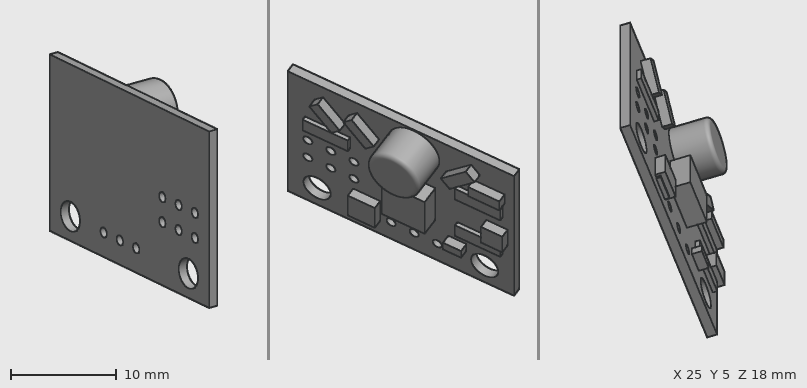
import cadquery as cq

BOARD_LENGTH = 25.0
BOARD_HEIGHT = 18.0
BOARD_THICKNESS = 1.0

MOUNTING_DIAMETER = 3.0
MOUNTING_INSET = 3.25
BOTTOM_ROW_Z = 2.5

PIN_DIAMETER = 1.0
PIN_PITCH = 2.55
PIN_COLUMNS = 3
PIN_ROW_X = 11.02
PIN_BLOCK_ROWS = 2
PIN_BLOCK_X = 20.22
PIN_BLOCK_Z = 7.72

CAPSULE_DIAMETER = 5.62
CAPSULE_LENGTH = 4.0
CAPSULE_RIM_RADIUS = 0.48
CAPSULE_X = 11.05
CAPSULE_Z = 15.02

TALL = 2.0
MEDIUM = 1.0
LOW = 0.45

TILT = 45.0
TILTED_Z = 14.88
LONG_TILTED_X = 5.62
LONG_TILTED_LENGTH = 3.9
LONG_TILTED_WIDTH = 1.38
SHORT_TILTED_XS = (16.58, 20.32)
SHORT_TILTED_LENGTH = 3.45
SHORT_TILTED_WIDTH = 1.3

BLOCK_SIDE = 4.75
BLOCK_BOTTOM = 5.98

SIDE_CHIP_LEFT = 1.02
SIDE_CHIP_WIDTH = 1.35
SIDE_CHIP_BOTTOM = 13.25

LOW_CHIP_LENGTH = 5.0
LOW_CHIP_WIDTH = 1.6
LOW_CHIP_LEFT = 1.25
UPPER_LOW_CHIP_BOTTOM = 11.02
LOWER_LOW_CHIP_BOTTOM = 5.55
RIGHT_LOW_CHIP_END = 23.08
RIGHT_LOW_CHIP_BOTTOM = 10.8

EDGE_CHIP_LEFT = 0.7
EDGE_CHIP_SIDE = 2.35
EDGE_CHIP_BOTTOM = LOWER_LOW_CHIP_BOTTOM + LOW_CHIP_WIDTH

LARGE_CHIP_LEFT = 14.78
LARGE_CHIP_SIDE = 2.98
LARGE_CHIP_BOTTOM = 1.95
STRIP_WIDTH = 0.3
STRIP_INSET = 0.25

SMALL_CHIP_LEFT = 5.25
SMALL_CHIP_LENGTH = 2.0
SMALL_CHIP_WIDTH = 1.0
SMALL_CHIP_BOTTOM = 3.48


def round_hole(diameter, x, z):
    """A cylinder through the board thickness, used to cut a hole."""
    return cq.Workplane("XZ").center(x, z).circle(diameter / 2).extrude(-BOARD_THICKNESS)


def mounting_holes():
    left = round_hole(MOUNTING_DIAMETER, MOUNTING_INSET, BOTTOM_ROW_Z)
    right = round_hole(MOUNTING_DIAMETER, BOARD_LENGTH - MOUNTING_INSET, BOTTOM_ROW_Z)
    return [left, right]


def pin_holes(rows, middle_x, middle_z):
    """A grid of pin holes centred on the given point."""
    holes = []
    for column in range(PIN_COLUMNS):
        x = middle_x + (column - (PIN_COLUMNS - 1) / 2) * PIN_PITCH
        for row in range(rows):
            z = middle_z + (row - (rows - 1) / 2) * PIN_PITCH
            holes.append(round_hole(PIN_DIAMETER, x, z))
    return holes


def chip(left, bottom, length, width, height):
    """A block on the back face, with its sides along X and Z."""
    return cq.Workplane("XY").box(length, height, width, centered=False).translate(
        (left, BOARD_THICKNESS, bottom)
    )


def tilted_chip(middle_x, length, width, tilt):
    """A block of medium height turned about Y; a positive tilt lowers its +X end."""
    block = cq.Workplane("XY").box(length, MEDIUM, width, centered=(True, False, True))
    turned = block.rotate((0, 0, 0), (0, 1, 0), tilt)
    return turned.translate((middle_x, BOARD_THICKNESS, TILTED_Z))


def tilted_chips():
    chips = [tilted_chip(LONG_TILTED_X, LONG_TILTED_LENGTH, LONG_TILTED_WIDTH, TILT)]
    for x in SHORT_TILTED_XS:
        chips.append(tilted_chip(x, SHORT_TILTED_LENGTH, SHORT_TILTED_WIDTH, -TILT))
    return chips


def low_chips():
    right_chip_left = RIGHT_LOW_CHIP_END - LOW_CHIP_LENGTH
    corners = [
        (LOW_CHIP_LEFT, UPPER_LOW_CHIP_BOTTOM),
        (LOW_CHIP_LEFT, LOWER_LOW_CHIP_BOTTOM),
        (right_chip_left, RIGHT_LOW_CHIP_BOTTOM),
    ]
    return [chip(x, z, LOW_CHIP_LENGTH, LOW_CHIP_WIDTH, LOW) for x, z in corners]


def upright_chips():
    block_left = CAPSULE_X - BLOCK_SIDE / 2
    strip_bottom = LARGE_CHIP_BOTTOM - STRIP_WIDTH
    strip_left = LARGE_CHIP_LEFT + STRIP_INSET
    strip_length = LARGE_CHIP_SIDE - 2 * STRIP_INSET
    return [
        chip(block_left, BLOCK_BOTTOM, BLOCK_SIDE, BLOCK_SIDE, TALL),
        chip(EDGE_CHIP_LEFT, EDGE_CHIP_BOTTOM, EDGE_CHIP_SIDE, EDGE_CHIP_SIDE, MEDIUM),
        chip(SIDE_CHIP_LEFT, SIDE_CHIP_BOTTOM, SHORT_TILTED_LENGTH, SIDE_CHIP_WIDTH, MEDIUM),
        chip(LARGE_CHIP_LEFT, LARGE_CHIP_BOTTOM, LARGE_CHIP_SIDE, LARGE_CHIP_SIDE, MEDIUM),
        chip(strip_left, strip_bottom, strip_length, STRIP_WIDTH, LOW),
        chip(SMALL_CHIP_LEFT, SMALL_CHIP_BOTTOM, SMALL_CHIP_LENGTH, SMALL_CHIP_WIDTH, MEDIUM),
    ]


def make_board():
    """The drilled board in one piece with the parts on its back face."""
    board = cq.Workplane("XY").box(BOARD_LENGTH, BOARD_THICKNESS, BOARD_HEIGHT, centered=False)
    holes = mounting_holes()
    holes += pin_holes(1, PIN_ROW_X, BOTTOM_ROW_Z)
    holes += pin_holes(PIN_BLOCK_ROWS, PIN_BLOCK_X, PIN_BLOCK_Z)
    for hole in holes:
        board = board.cut(hole)
    for part in upright_chips() + tilted_chips() + low_chips():
        board = board.union(part)
    return board


def make_capsule():
    """The round capsule, standing on the back face of the board."""
    body = cq.Workplane("XZ", origin=(CAPSULE_X, BOARD_THICKNESS, CAPSULE_Z))
    body = body.circle(CAPSULE_DIAMETER / 2).extrude(-CAPSULE_LENGTH)
    return body.faces(">Y").edges().fillet(CAPSULE_RIM_RADIUS)


board = make_board().solids()
capsule = make_capsule().solids()

result = cq.Compound.makeCompound([board.val(), capsule.val()])